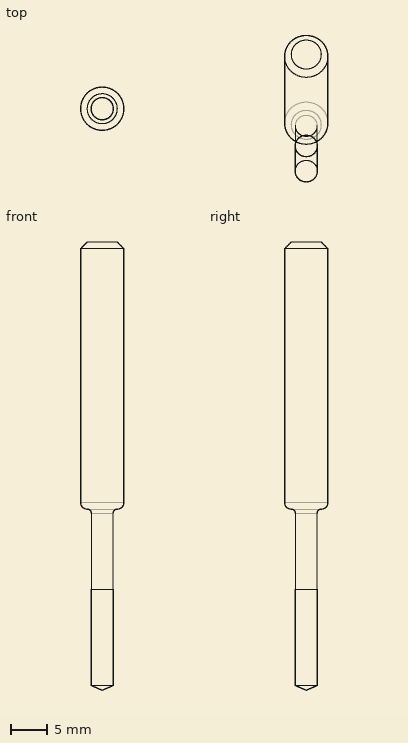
import cadquery as cq
import math

total_length = 62.0

shank_radius = 6.0 / 2
neck_radius = 3.05 / 2
top_chamfer = 0.9
shoulder_z = 25.05
shoulder_round = 0.9
neck_fillet = shank_radius - shoulder_round - neck_radius

head_radius = 3.1 / 2
head_top_z = 13.95
tip_height = 0.7

UPPER_LEFT = 135
LOWER_RIGHT = -45


def arc_middle(center_r, center_z, radius, angle):
    """Point on an arc around (center_r, center_z), at an angle in degrees."""
    turn = math.radians(angle)
    return (center_r + radius * math.cos(turn), center_z + radius * math.sin(turn))


def revolve_profile(profile):
    """Turn a closed half profile in the XZ plane about the Z axis."""
    return profile.close().revolve(360, (0, 0, 0), (0, 1, 0))


def make_shank():
    """Chamfered shank that blends through a rounded shoulder into the neck."""
    arc_join_r = neck_radius + neck_fillet
    fillet_center_z = shoulder_z - neck_fillet
    round_center_z = shoulder_z + shoulder_round
    profile = (
        cq.Workplane("XZ")
        .moveTo(0, head_top_z)
        .lineTo(neck_radius, head_top_z)
        .lineTo(neck_radius, fillet_center_z)
        .threePointArc(
            arc_middle(arc_join_r, fillet_center_z, neck_fillet, UPPER_LEFT),
            (arc_join_r, shoulder_z),
        )
        .threePointArc(
            arc_middle(arc_join_r, round_center_z, shoulder_round, LOWER_RIGHT),
            (shank_radius, round_center_z),
        )
        .lineTo(shank_radius, total_length - top_chamfer)
        .lineTo(shank_radius - top_chamfer, total_length)
        .lineTo(0, total_length)
    )
    return revolve_profile(profile)


def make_cutting_head():
    """Cylindrical head with a conical point at the origin."""
    profile = (
        cq.Workplane("XZ")
        .moveTo(0, 0)
        .lineTo(head_radius, tip_height)
        .lineTo(head_radius, head_top_z)
        .lineTo(0, head_top_z)
    )
    return revolve_profile(profile)


shank = make_shank()
cutting_head = make_cutting_head()

result = cq.Compound.makeCompound([shank.val(), cutting_head.val()])